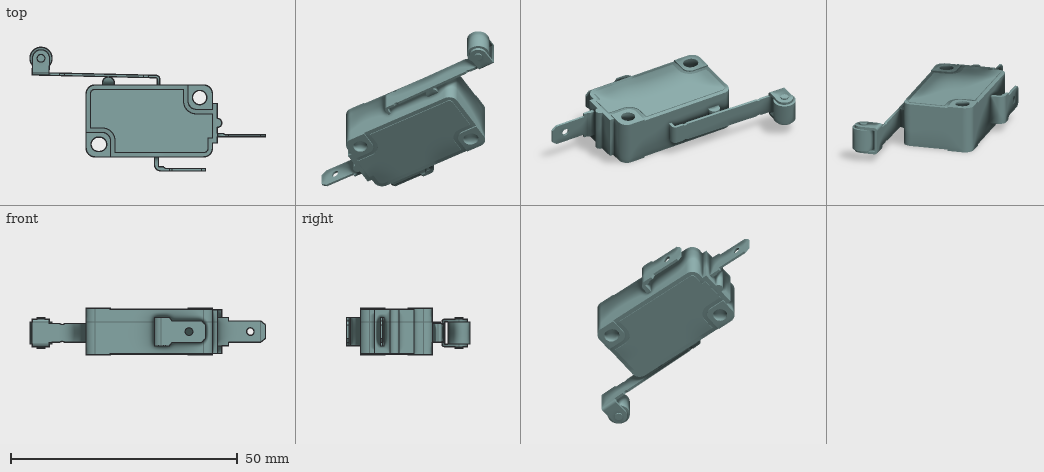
import cadquery as cq


body_length = 27.9
body_width = 15.9
total_height = 10.3
body_corner_radius = 2.0
face_step = 0.15
rim_z = total_height / 2 - 2 * face_step
label_z = rim_z + face_step
pad_z = label_z + face_step
seam_z = 2.1
half_length = body_length / 2
half_width = body_width / 2

hole_diameter = 3.1
slot_length = 3.4
hole_x = 11.1
hole_y = 5.15
pad_length = 5.4
pad_width = 5.4
pad_inner_radius = 1.8
half_turn = 180
label_inset = 1.0
label_corner_radius = 0.9
label_foot_y = -3.8

block_depth = 1.05
block_top_y = 3.87
block_bottom_y = -4.88
bump_radius = 1.0
bump_y = -0.43

plunger_x = -9.0
plunger_radius = 1.33
plunger_length = 4.2
plunger_axis_y = 8.37

terminal_wide = 6.3
terminal_narrow = 4.75
terminal_point = 3.0
embed = 1.0

no_tip_x = 25.64
no_point_length = 1.1
no_shoulder_x = 17.5
no_ramp_start_x = 16.2
no_ramp_end_x = 16.8
no_bottom_y = -3.52
no_thick = 0.8
no_thin = 0.5
no_hole_x = 22.27
no_hole_diameter = 1.6
no_tip_bevel = 0.02

com_left_x = 1.1
com_tip_x = 12.4
com_point_length = 0.86
com_shoulder_start_x = 4.4
com_shoulder_end_x = 5.0
com_ramp_start_x = 3.1
com_ramp_end_x = 3.6
com_bottom_y = -11.04
com_thick = 0.95
com_thin = 0.6
com_bend_radius = 1.5
com_hole_x = 8.75
com_hole_diameter = 1.7

roller_diameter = 4.92
roller_x = -23.86
roller_y = 13.8
lever_z = -0.3
lever_tilt = -1.3
lever_thickness = 0.6
lever_width = 4.2
lever_top_v = -3.14
lever_end_u = 26.3
lever_foot_v = -5.8
lever_bend_radius = 0.9
fork_length = 3.75
fork_width = 6.1
pin_diameter = 1.7
pin_length = 6.75
notch_diameter = 1.6
notch_depth = 0.22
notch_positions = (4.75, 23.25)


def slab(outline, z_low, z_high):
    """Extrude a closed XY outline between two Z levels."""
    return outline.extrude(z_high - z_low).translate((0, 0, z_low))


def centered_bar(outline, width):
    """Extrude a closed XY outline symmetrically about Z = 0."""
    return outline.extrude(width / 2, both=True)


def round_corner(solid, x, y, z_middle, radius):
    """Fillet the one vertical edge whose middle lies at the given point."""
    edge = cq.selectors.NearestToPointSelector((x, y, z_middle))
    return solid.edges("|Z").edges(edge).fillet(radius)


def housing_layer(z_low, z_high):
    """One layer of the housing with its terminal end block and locating bump."""
    layer = slab(cq.Workplane().rect(body_length, body_width), z_low, z_high)
    layer = layer.edges("|Z").fillet(body_corner_radius)
    block_outline = (
        cq.Workplane()
        .moveTo(half_length - embed, block_bottom_y)
        .lineTo(half_length + block_depth, block_bottom_y)
        .lineTo(half_length + block_depth, bump_y - bump_radius)
        .threePointArc(
            (half_length + block_depth + bump_radius, bump_y),
            (half_length + block_depth, bump_y + bump_radius),
        )
        .lineTo(half_length + block_depth, block_top_y)
        .lineTo(half_length - embed, block_top_y)
        .close()
    )
    return layer.union(slab(block_outline, z_low, z_high))


def corner_pads():
    """Raised top-face pads around the two mounting holes, flush with the housing sides."""
    pad = slab(
        cq.Workplane()
        .center(half_length - pad_length / 2, half_width - pad_width / 2)
        .rect(pad_length, pad_width),
        seam_z,
        pad_z,
    )
    pad = pad.edges("|Z and >X and >Y").fillet(body_corner_radius)
    pad = pad.edges("|Z and <X and <Y").fillet(pad_inner_radius)
    opposite = pad.rotate((0, 0, 0), (0, 0, 1), half_turn)
    return pad.union(opposite)


def label_field():
    """Raised top-face label field that leaves an even margin along the edges and pads."""
    x_out = half_length - label_inset
    y_out = half_width - label_inset
    x_in = half_length - pad_length - label_inset
    y_in = half_width - pad_width - label_inset
    field = slab(
        cq.Workplane().polyline([
            (-x_out, y_out),
            (x_in, y_out),
            (x_in, y_in),
            (half_length, y_in),
            (half_length, label_foot_y),
            (x_out, label_foot_y),
            (x_out, -y_out),
            (-x_in, -y_out),
            (-x_in, -y_in),
            (-x_out, -y_in),
        ]).close(),
        seam_z,
        label_z,
    )
    for x, y in ((-x_out, y_out), (x_out, -y_out)):
        field = round_corner(field, x, y, (seam_z + label_z) / 2, label_corner_radius)
    for x, y in ((x_in, y_in), (-x_in, -y_in)):
        field = round_corner(field, x, y, (seam_z + label_z) / 2, pad_inner_radius + label_inset)
    return field


def mounting_holes():
    """Cutters for the round hole and for the slot that takes up tolerance."""
    round_hole = cq.Workplane().center(hole_x, hole_y).circle(hole_diameter / 2)
    slot = cq.Workplane().center(-hole_x, -hole_y).slot2D(slot_length, hole_diameter)
    return centered_bar(round_hole, total_height).union(centered_bar(slot, total_height))


def housing():
    """Base and cover, both with raised faces, meeting at a visible joint line."""
    raised_face = label_field().union(corner_pads())
    base = housing_layer(-rim_z, seam_z).union(raised_face.mirror("XY"))
    cover = housing_layer(seam_z, rim_z).union(raised_face)
    holes = mounting_holes()
    return base.cut(holes).union(cover.cut(holes), clean=False)


def plunger():
    """Round-nosed bar standing out of the +Y side."""
    root_y = half_width - embed
    outline = (
        cq.Workplane()
        .moveTo(plunger_x - plunger_radius, root_y)
        .lineTo(plunger_x + plunger_radius, root_y)
        .lineTo(plunger_x + plunger_radius, plunger_axis_y)
        .threePointArc(
            (plunger_x, plunger_axis_y + plunger_radius),
            (plunger_x - plunger_radius, plunger_axis_y),
        )
        .close()
    )
    return centered_bar(outline, plunger_length)


def terminal_blade(start_x, shoulder_start_x, shoulder_end_x, point_x, tip_x, y_low, y_high):
    """Plan shape of a spade terminal in XZ, filling the Y range given."""
    upper = [
        (start_x, terminal_wide / 2),
        (shoulder_start_x, terminal_wide / 2),
        (shoulder_end_x, terminal_narrow / 2),
        (point_x, terminal_narrow / 2),
        (tip_x, terminal_point / 2),
    ]
    lower = [(x, -z) for x, z in reversed(upper)]
    blade = cq.Workplane("XZ", origin=(0, y_high, 0)).polyline(upper + lower).close()
    return blade.extrude(y_high - y_low)


def terminal_hole(x, diameter, y_low, y_high):
    drill = cq.Workplane("XZ", origin=(x, y_high, 0)).circle(diameter / 2)
    return drill.extrude(y_high - y_low)


def normally_open_terminal():
    top_y = no_bottom_y + no_thick
    thin_y = no_bottom_y + no_thin
    start_x = half_length + block_depth - embed
    point_x = no_tip_x - no_point_length
    side = cq.Workplane().polyline([
        (start_x, no_bottom_y),
        (point_x, no_bottom_y),
        (no_tip_x, no_bottom_y + no_tip_bevel),
        (no_tip_x, thin_y - no_tip_bevel),
        (point_x, thin_y),
        (no_ramp_end_x, thin_y),
        (no_ramp_start_x, top_y),
        (start_x, top_y),
    ]).close()
    blade = terminal_blade(
        start_x, no_shoulder_x, no_shoulder_x, point_x, no_tip_x, no_bottom_y, top_y
    )
    terminal = centered_bar(side, terminal_wide).intersect(blade)
    return terminal.cut(terminal_hole(no_hole_x, no_hole_diameter, no_bottom_y, top_y))


def common_terminal():
    root_y = embed - half_width
    thick_y = com_bottom_y + com_thick
    thin_y = com_bottom_y + com_thin
    side = cq.Workplane().polyline([
        (com_left_x, root_y),
        (com_left_x, com_bottom_y),
        (com_tip_x, com_bottom_y),
        (com_tip_x, thin_y),
        (com_ramp_end_x, thin_y),
        (com_ramp_start_x, thick_y),
        (com_left_x + com_thick, thick_y),
        (com_left_x + com_thick, root_y),
    ]).close()
    strip = centered_bar(side, terminal_wide)
    strip = strip.edges("|Z and <X and <Y").fillet(com_bend_radius)
    blade = terminal_blade(
        com_left_x,
        com_shoulder_start_x,
        com_shoulder_end_x,
        com_tip_x - com_point_length,
        com_tip_x,
        com_bottom_y,
        root_y,
    )
    hole = terminal_hole(com_hole_x, com_hole_diameter, com_bottom_y, root_y)
    return strip.intersect(blade).cut(hole)


def lever_strip():
    """Notched spring strip, bent down into the housing at its far end."""
    bottom_v = lever_top_v - lever_thickness
    strip = cq.Workplane().polyline([
        (-fork_length / 2, lever_top_v),
        (lever_end_u, lever_top_v),
        (lever_end_u, lever_foot_v),
        (lever_end_u - lever_thickness, lever_foot_v),
        (lever_end_u - lever_thickness, bottom_v),
        (-fork_length / 2, bottom_v),
    ]).close()
    strip = centered_bar(strip, lever_width)
    strip = strip.edges("|Z and >X and >Y").fillet(lever_bend_radius)
    inner_bend_radius = lever_bend_radius - lever_thickness
    strip = round_corner(strip, lever_end_u - lever_thickness, bottom_v, 0, inner_bend_radius)
    notch_z = lever_width / 2 - notch_depth + notch_diameter / 2
    notch_centers = [(u, side * notch_z) for u in notch_positions for side in (1, -1)]
    notches = (
        cq.Workplane("XZ", origin=(0, lever_top_v, 0))
        .pushPoints(notch_centers)
        .circle(notch_diameter / 2)
        .extrude(lever_thickness)
    )
    return strip.cut(notches)


def roller_fork():
    """U-shaped fork with round-ended arms, holding the pin and roller."""
    bottom_v = lever_top_v - lever_thickness
    arm = centered_bar(
        cq.Workplane()
        .moveTo(-fork_length / 2, bottom_v)
        .lineTo(fork_length / 2, bottom_v)
        .lineTo(fork_length / 2, 0)
        .threePointArc((0, fork_length / 2), (-fork_length / 2, 0))
        .close(),
        fork_width,
    )
    arm = arm.edges("|X and <Y").fillet(lever_thickness)
    inner_width = fork_width - 2 * lever_thickness
    gap_height = fork_length / 2 - lever_top_v
    gap = cq.Workplane().center(0, lever_top_v + gap_height / 2).rect(fork_length, gap_height)
    fork = arm.cut(centered_bar(gap, inner_width))
    roller = centered_bar(cq.Workplane().circle(roller_diameter / 2), inner_width)
    pin = centered_bar(cq.Workplane().circle(pin_diameter / 2), pin_length)
    return fork.union(roller).union(pin)


def roller_lever():
    lever = lever_strip().union(roller_fork())
    lever = lever.rotate((0, 0, 0), (0, 0, 1), lever_tilt)
    return lever.translate((roller_x, roller_y, lever_z))


result = housing()
for attachment in (plunger(), normally_open_terminal(), common_terminal(), roller_lever()):
    result = result.union(attachment, clean=False)